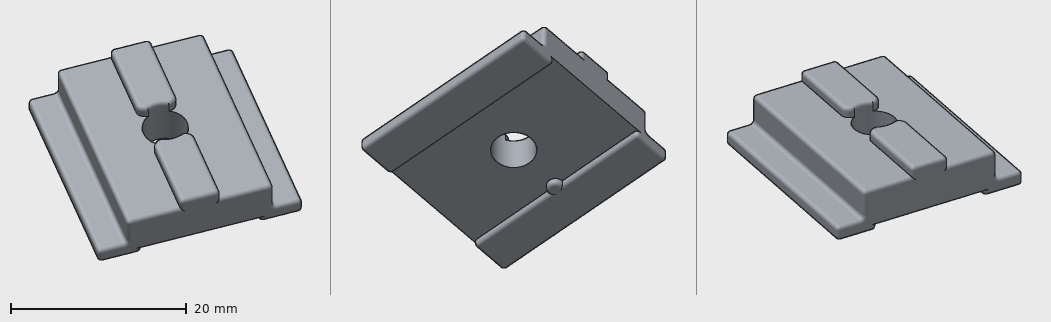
import cadquery as cq
import math

length = 25.0
flange_span = 24.5
flange_top = 1.8
body_width = 17.5
body_top = 5.5
total_height = 6.75
recess_width = 14.25
recess_depth = 0.82
rib_width = 4.75
rib_gap = 4.65
rib_end_radius = 1.05
hole_diameter = 5.25
bump_radius = 1.05
edge_radius = 0.5

tolerance = 0.002


def centred_block(size_y, bottom, top):
    """Full-length block centred in X and Y between two heights."""
    block = cq.Workplane("XY").workplane(offset=bottom)
    return block.rect(length, size_y).extrude(top - bottom)


def needs_rounding(edge):
    """True for every body edge except those on the recess ceiling and the upright ones beside the bump."""
    box = edge.BoundingBox()
    on_ceiling = box.zmin > recess_depth - tolerance and box.zmax < recess_depth + tolerance
    across_x = box.xmax - box.xmin < tolerance
    beside_bump = across_x and abs(box.xmin) < length / 2 - tolerance
    return not (on_ceiling or beside_bump)


def make_body():
    """Stepped block with a shallow recess that leaves two bottom lips and a key on one of them."""
    flanges = centred_block(flange_span, 0, flange_top)
    centre = centred_block(body_width, 0, body_top)
    recess = centred_block(recess_width, 0, recess_depth)
    bump = (
        cq.Workplane("XY")
        .center(0, recess_width / 2)
        .circle(bump_radius)
        .extrude(recess_depth)
    )
    body = flanges.union(centre).cut(recess).union(bump)
    return body.edges().filter(needs_rounding).fillet(edge_radius)


def make_ribs():
    """Two ribs in line along X, rounded at their facing ends and sunk into the body."""
    rib_length = (length - rib_gap) / 2
    rib_bottom = flange_top
    rib = (
        cq.Workplane("XY")
        .workplane(offset=rib_bottom)
        .center((length - rib_length) / 2, 0)
        .rect(rib_length, rib_width)
        .extrude(total_height - rib_bottom)
        .edges("|Z and <X")
        .fillet(rib_end_radius)
        .edges(">Z or (|Z and >X)")
        .fillet(edge_radius)
    )
    return rib.union(rib.mirror("YZ"))


def make_hole_cutter():
    """Through-hole cutter whose mouth flares at rib height to round the rib edges it cuts."""
    radius = hole_diameter / 2
    flare_start = total_height - edge_radius
    flare_shift = edge_radius * math.sqrt(0.5)
    flare_middle = (radius + edge_radius - flare_shift, flare_start + flare_shift)
    return (
        cq.Workplane("XZ")
        .lineTo(radius, 0)
        .lineTo(radius, flare_start)
        .threePointArc(flare_middle, (radius + edge_radius, total_height))
        .lineTo(0, total_height)
        .close()
        .revolve(360, (0, 0), (0, 1))
    )


result = make_body().union(make_ribs()).cut(make_hole_cutter())